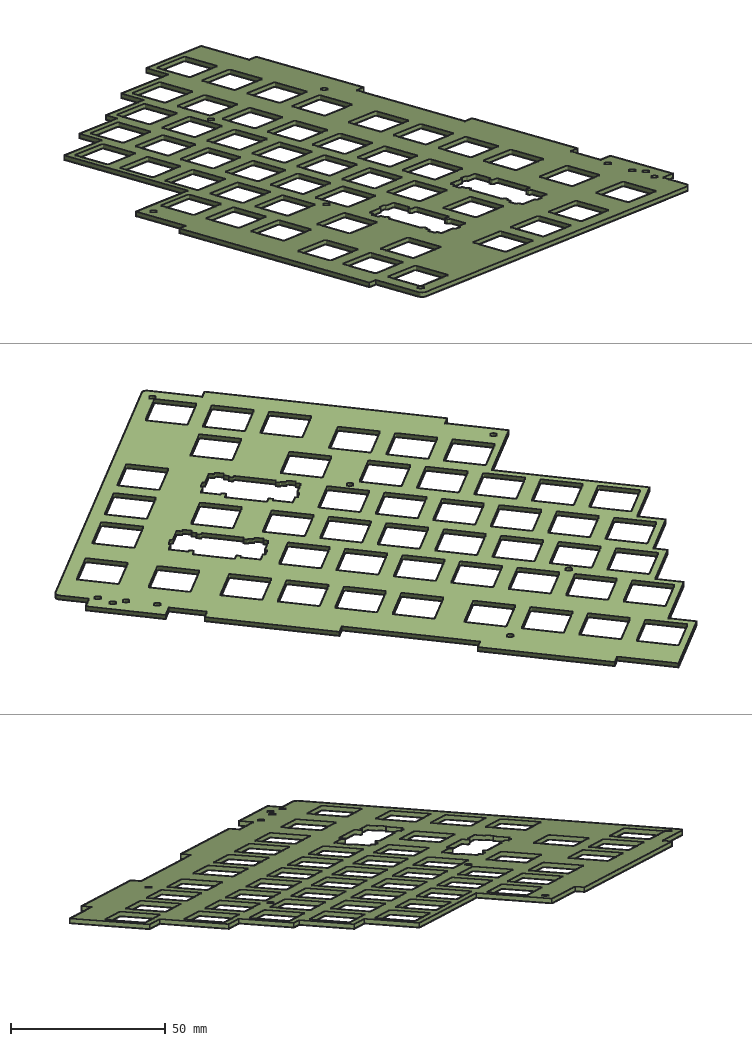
import cadquery as cq
KEY_UNIT = 19.05
THICKNESS = 1.6

LEFT_X = 0.09
WIDTH = 207.07
RIGHT_X = LEFT_X + WIDTH
BOTTOM_Y = -19.86
DEPTH = 143.15
TOP_Y = BOTTOM_Y + DEPTH
USB_TAB_HEIGHT = 5.0
BOTTOM_TAB_HEIGHT = 3.27
TOP_EDGE_Y = TOP_Y - USB_TAB_HEIGHT
BOTTOM_EDGE_Y = BOTTOM_Y + BOTTOM_TAB_HEIGHT
PLATE_CORNER_RADIUS = 1.75

CASE_TAB_HEIGHT = 3.6
CASE_TAB_SPANS = [(20.44, 65.92), (111.79, 156.52)]
USB_TAB_SPAN = (169.19, 195.69)
BOTTOM_TAB_SPAN = (106.9, 187.44)

SWITCH_SIZE = 14.0
CUTOUT_RADIUS = 0.5

FUNCTION_ROW = 5.25
NUMBER_ROW = 4
UPPER_ROW = 3
HOME_ROW = 2
LOWER_ROW = 1
SPACE_ROW = 0
HALF_KEY = 0.5
ARROW_DROP = 0.25
SWITCH_ROWS = [
    (FUNCTION_ROW, [0.5, 1.5, 2.5, 3.5, 4.75, 5.75, 6.75, 7.75, 9, 10.25]),
    (NUMBER_ROW, [1, 2, 3, 4, 5, 6, 7, 10.25]),
    (UPPER_ROW, [1.5, 2.5, 3.5, 4.5, 5.5, 6.5, 7.5, 8.75, 10.25]),
    (HOME_ROW, [1.75, 2.75, 3.75, 4.75, 5.75, 6.75, 10.25]),
    (LOWER_ROW, [2.25, 3.25, 4.25, 5.25, 6.25, 7.625]),
    (SPACE_ROW, [5, 6, 7]),
    (LOWER_ROW - ARROW_DROP, [9.25]),
    (SPACE_ROW - ARROW_DROP, [8.25, 9.25, 10.25]),
]

STABILIZED_KEYS = [(8.5, NUMBER_ROW), (8.375, HOME_ROW)]
STABILIZER_OFFSET = 11.938
STABILIZER_WIDTH = 6.65
STABILIZER_TOP = 5.63
STABILIZER_BOTTOM = -6.67
STABILIZER_FOOT_WIDTH = 3.05
STABILIZER_FOOT_BOTTOM = -7.75
STABILIZER_RADIUS = 0.3
WIRE_NOTCH_DEPTH = 0.825
WIRE_NOTCH_TOP = 2.1
WIRE_NOTCH_BOTTOM = -0.7
WIRE_CHANNEL_TOP = 4.73
WIRE_CHANNEL_BOTTOM = -5.97

LEFT_STEPS = [
    (0.5, NUMBER_ROW),
    (1, UPPER_ROW),
    (1.25, HOME_ROW),
    (1.75, LOWER_ROW),
]
SPACE_ROW_LEFT = 4.5
STEP_RAISE = 0.09

HOLE_DIAMETER = 2.2
MOUNTING_HOLES = [
    (57.19, 112.42),
    (47.69, 66.64),
    (128.62, 28.54),
    (89.94, -12.66),
    (203.12, -12.66),
]
USB_BOARD_HOLES = [(173.24, 117.14), (183.6, 117.14), (192.99, 117.14), (187.57, 119.27)]


def box_between(left, right, bottom, top):
    """Block of plate thickness spanning the given rectangle."""
    return (
        cq.Workplane("XY")
        .center((left + right) / 2, (bottom + top) / 2)
        .rect(right - left, top - bottom)
        .extrude(THICKNESS)
    )


def step_level(row):
    """Height of the stair edge just under a key row."""
    return (row - HALF_KEY) * KEY_UNIT + STEP_RAISE


def plate_body():
    """Main sheet with the staircase along its left side and rounded right corners."""
    points = [(LEFT_X, TOP_EDGE_Y), (LEFT_X, step_level(FUNCTION_ROW))]
    row_above = FUNCTION_ROW
    for left, row in LEFT_STEPS:
        points.append((left * KEY_UNIT, step_level(row_above)))
        points.append((left * KEY_UNIT, step_level(row)))
        row_above = row
    points.append((SPACE_ROW_LEFT * KEY_UNIT, step_level(row_above)))
    points.append((SPACE_ROW_LEFT * KEY_UNIT, BOTTOM_EDGE_Y))
    points.append((RIGHT_X, BOTTOM_EDGE_Y))
    points.append((RIGHT_X, TOP_EDGE_Y))
    sheet = cq.Workplane("XY").polyline(points).close().extrude(THICKNESS)
    return sheet.edges("|Z and >X").fillet(PLATE_CORNER_RADIUS)


def add_tabs(plate):
    """Join the tabs that stand out from the top and bottom edges."""
    for left, right in CASE_TAB_SPANS:
        plate = plate.union(box_between(left, right, TOP_EDGE_Y, TOP_EDGE_Y + CASE_TAB_HEIGHT))
    plate = plate.union(box_between(*USB_TAB_SPAN, TOP_EDGE_Y, TOP_Y))
    return plate.union(box_between(*BOTTOM_TAB_SPAN, BOTTOM_Y, BOTTOM_EDGE_Y))


def switch_cutters():
    """Square switch openings with small corner radii."""
    centres = [(x * KEY_UNIT, row * KEY_UNIT) for row, columns in SWITCH_ROWS for x in columns]
    squares = cq.Workplane("XY").pushPoints(centres).rect(SWITCH_SIZE, SWITCH_SIZE).extrude(THICKNESS)
    return squares.edges("|Z").fillet(CUTOUT_RADIUS)


def stabilizer_cutter():
    """Switch opening joined to a stabilizer opening on each side, centred on the origin."""
    half_switch = SWITCH_SIZE / 2
    half_width = STABILIZER_WIDTH / 2
    half_foot = STABILIZER_FOOT_WIDTH / 2
    notch_reach = STABILIZER_OFFSET + half_width + WIRE_NOTCH_DEPTH
    cutter = box_between(-half_switch, half_switch, -half_switch, half_switch)
    cutter = cutter.union(
        box_between(-STABILIZER_OFFSET, STABILIZER_OFFSET, WIRE_CHANNEL_BOTTOM, WIRE_CHANNEL_TOP)
    )
    cutter = cutter.union(box_between(-notch_reach, notch_reach, WIRE_NOTCH_BOTTOM, WIRE_NOTCH_TOP))
    for middle in (-STABILIZER_OFFSET, STABILIZER_OFFSET):
        cutter = cutter.union(
            box_between(middle - half_width, middle + half_width, STABILIZER_BOTTOM, STABILIZER_TOP)
        )
        cutter = cutter.union(
            box_between(middle - half_foot, middle + half_foot, STABILIZER_FOOT_BOTTOM, 0)
        )
    return cutter.edges("|Z").fillet(STABILIZER_RADIUS)


def cut_openings(plate):
    """Cut the switch openings and the stabilized key openings."""
    plate = plate.cut(switch_cutters())
    for x, row in STABILIZED_KEYS:
        plate = plate.cut(stabilizer_cutter().translate((x * KEY_UNIT, row * KEY_UNIT, 0)))
    return plate


def cut_holes(plate):
    """Drill the mounting holes and the USB board holes."""
    centres = MOUNTING_HOLES + USB_BOARD_HOLES
    holes = cq.Workplane("XY").pushPoints(centres).circle(HOLE_DIAMETER / 2).extrude(THICKNESS)
    return plate.cut(holes)


result = cut_holes(cut_openings(add_tabs(plate_body())))